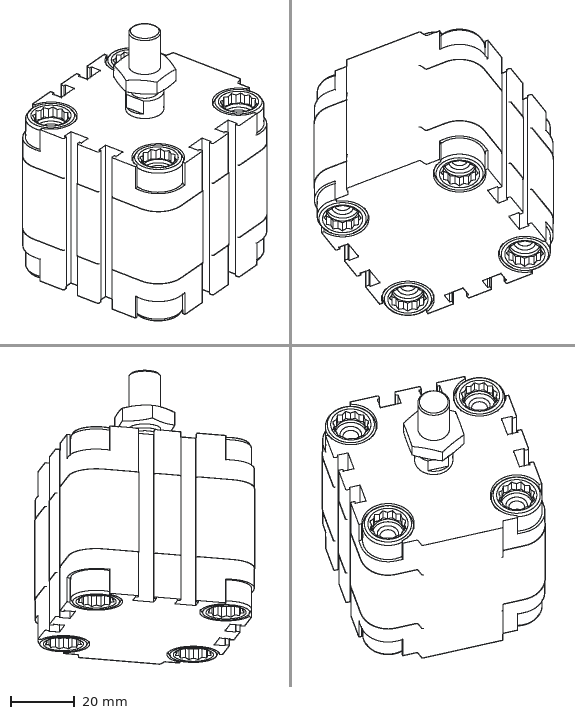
import cadquery as cq
import math


barrel_half_width = 30.0
housing_height = 55.5
cap_height = 14.5
cap_inset = 0.13
screw_offset = 21.0

tongue_top = 32.5
tongue_base_half_width = 13.95
tongue_top_half_width = 13.2
tongue_round = 0.5

groove_offset = 6.8
groove_width = 6.7
groove_floor = 25.0
groove_mouth_width = 5.2
groove_lip_inside = 28.5
groove_mouth_round = 0.4
groove_side_turns = (-90, 0, 90)

recess_depth = 8.0
recess_radius = 8.2
recess_edge = 18.7
collar_radius = 8.0
collar_chamfer_width = 0.6
collar_chamfer_height = 1.0

socket_flats = 10.0
socket_depth = 3.8
socket_floor_depth = 5.0
socket_cone_radius = 6.3
socket_cone_angle = 30
screw_hole_radius = 2.48
countersink_radius = 3.4

selection_margin = 0.8

half_hexagon_turn = 30

rod_radius = 6.01
rod_flats = 10.0
rod_flats_bottom = 57.1
rod_shoulder = 61.9
rod_neck_radius = 4.3
thread_radius = 5.0
thread_bottom = 64.0
rod_top = 84.0
rod_tip_chamfer = 0.5

nut_flats = 17.0
nut_bottom = 66.0
nut_height = 5.0
nut_face_radius = 8.4
nut_chamfer_height = 0.4


def hexagon_corner_diameter(flats):
    """Diameter over the corners of a hexagon with the given width across flats."""
    return flats / math.cos(math.pi / 6)




def groove_cutter(half_width):
    """One T-shaped groove centred on the -Y side, with rounded lips at the mouth."""
    half_slot = groove_width / 2
    half_mouth = groove_mouth_width / 2
    half_flare = half_mouth + groove_mouth_round
    lip_end = half_width - groove_mouth_round
    beyond = half_width + groove_mouth_round
    return (
        cq.Workplane("XY")
        .moveTo(0, -groove_floor)
        .lineTo(half_slot, -groove_floor)
        .lineTo(half_slot, -groove_lip_inside)
        .lineTo(half_mouth, -groove_lip_inside)
        .lineTo(half_mouth, -lip_end)
        .tangentArcPoint((half_flare, -half_width), relative=False)
        .lineTo(half_flare, -beyond)
        .lineTo(0, -beyond)
        .mirrorY()
        .extrude(housing_height)
    )


def block_with_tongue(half_width, top):
    """Square block with a tapered tongue on the +Y side, rounded at its top and foot."""
    block = cq.Workplane("XY").rect(2 * half_width, 2 * half_width).extrude(housing_height)
    ridge = (
        cq.Workplane("XY")
        .polyline(
            [
                (-tongue_base_half_width, 0),
                (-tongue_base_half_width, half_width),
                (-tongue_top_half_width, top),
                (tongue_top_half_width, top),
                (tongue_base_half_width, half_width),
                (tongue_base_half_width, 0),
            ]
        )
        .close()
        .extrude(housing_height)
    )
    foot_and_top = cq.selectors.BoxSelector(
        (-half_width + selection_margin, half_width - selection_margin, 0),
        (half_width - selection_margin, top + selection_margin, housing_height),
    )
    return block.union(ridge).edges("|Z").edges(foot_and_top).fillet(tongue_round)


def profile_prism(inset):
    """Full-height prism of the housing outline, its flat sides drawn in by the given inset."""
    half_width = barrel_half_width - inset
    prism = block_with_tongue(half_width, tongue_top)
    for x_sign in (-1, 1):
        corners = cq.selectors.BoxSelector(
            (x_sign * (half_width - selection_margin), -half_width - selection_margin, 0),
            (x_sign * (half_width + selection_margin), half_width + selection_margin, housing_height),
        )
        prism = prism.edges("|Z").edges(corners).fillet(half_width - screw_offset)
    for turn in groove_side_turns:
        for side in (-1, 1):
            cutter = groove_cutter(half_width).translate((side * groove_offset, 0, 0))
            prism = prism.cut(cutter.rotate((0, 0, 0), (0, 0, 1), turn))
    return prism


def slab(bottom, top):
    """Wide horizontal layer used to keep one height range of a prism."""
    width = 4 * barrel_half_width
    return cq.Workplane("XY").workplane(offset=bottom).rect(width, width).extrude(top - bottom)


def recess_cutter():
    """Ring-shaped recess around a collar at the (+X, +Y) corner of the top face."""
    floor = cq.Workplane("XY").workplane(offset=housing_height - recess_depth)
    well = floor.center(screw_offset, screw_offset).circle(recess_radius).extrude(recess_depth)
    reach = 2 * recess_radius
    opening = (
        floor.center(recess_edge, recess_edge)
        .rect(reach, reach, centered=False)
        .extrude(recess_depth)
    )
    collar = floor.center(screw_offset, screw_offset).circle(collar_radius).extrude(recess_depth)
    collar = collar.faces(">Z").chamfer(collar_chamfer_height, collar_chamfer_width)
    return well.union(opening).cut(collar)


def socket_cutter():
    """Socket with lead-in cone, twelve-point recess, round floor and countersink."""
    flat_radius = socket_flats / 2
    cone_depth = (socket_cone_radius - flat_radius) * math.tan(math.radians(socket_cone_angle))
    countersink_depth = countersink_radius - screw_hole_radius
    bore = (
        cq.Workplane("XZ")
        .polyline(
            [
                (0, 0),
                (socket_cone_radius, 0),
                (flat_radius, -cone_depth),
                (flat_radius, -socket_floor_depth),
                (countersink_radius, -socket_floor_depth),
                (screw_hole_radius, -socket_floor_depth - countersink_depth),
                (0, -socket_floor_depth - countersink_depth),
            ]
        )
        .close()
        .revolve(360, (0, 0, 0), (0, 1, 0))
    )
    hexagon = (
        cq.Workplane("XY")
        .polygon(6, hexagon_corner_diameter(socket_flats))
        .extrude(-socket_depth)
    )
    turned_hexagon = hexagon.rotate((0, 0, 0), (0, 0, 1), half_hexagon_turn)
    socket = bore.union(hexagon).union(turned_hexagon)
    return socket.translate((screw_offset, screw_offset, housing_height))


def make_housing():
    """Barrel and end caps in one piece, with corner recesses, sockets and screw holes."""
    barrel = profile_prism(0).intersect(slab(cap_height, housing_height - cap_height))
    caps = profile_prism(cap_inset).cut(slab(cap_height, housing_height - cap_height))
    housing = barrel.union(caps)

    corner_cutter = recess_cutter().union(socket_cutter())
    opposite_cutter = corner_cutter.mirror("XY", (0, 0, housing_height / 2))
    for quarter in range(4):
        for cutter in (corner_cutter, opposite_cutter):
            housing = housing.cut(cutter.rotate((0, 0, 0), (0, 0, 1), 90 * quarter))

    screw_holes = (
        cq.Workplane("XY")
        .rect(2 * screw_offset, 2 * screw_offset, forConstruction=True)
        .vertices()
        .circle(screw_hole_radius)
        .extrude(housing_height)
    )
    return housing.cut(screw_holes)




def make_rod():
    """Rod standing on the top cap: collar with two wrench flats, neck and threaded end."""
    thread_lead = thread_radius - rod_neck_radius
    rod = (
        cq.Workplane("XZ")
        .polyline(
            [
                (0, housing_height),
                (rod_radius, housing_height),
                (rod_radius, rod_shoulder),
                (rod_neck_radius, rod_shoulder),
                (rod_neck_radius, thread_bottom),
                (thread_radius, thread_bottom + thread_lead),
                (thread_radius, rod_top - rod_tip_chamfer),
                (thread_radius - rod_tip_chamfer, rod_top),
                (0, rod_top),
            ]
        )
        .close()
        .revolve(360, (0, 0, 0), (0, 1, 0))
    )
    for side in (-1, 1):
        flat = (
            cq.Workplane("XY")
            .workplane(offset=rod_flats_bottom)
            .center(0, side * (rod_flats / 2 + rod_radius / 2))
            .rect(2 * rod_radius, rod_radius)
            .extrude(rod_shoulder - rod_flats_bottom)
        )
        rod = rod.cut(flat)
    return rod




def make_nut():
    """Hexagon nut on the thread, corners turned off at both faces."""
    corner_diameter = hexagon_corner_diameter(nut_flats)
    corner_radius = corner_diameter / 2
    nut_top = nut_bottom + nut_height
    hexagon = (
        cq.Workplane("XY")
        .workplane(offset=nut_bottom)
        .transformed(rotate=(0, 0, half_hexagon_turn))
        .polygon(6, corner_diameter)
        .circle(thread_radius)
        .extrude(nut_height)
    )
    turned_blank = (
        cq.Workplane("XZ")
        .polyline(
            [
                (0, nut_bottom),
                (nut_face_radius, nut_bottom),
                (corner_radius, nut_bottom + nut_chamfer_height),
                (corner_radius, nut_top - nut_chamfer_height),
                (nut_face_radius, nut_top),
                (0, nut_top),
            ]
        )
        .close()
        .revolve(360, (0, 0, 0), (0, 1, 0))
    )
    return hexagon.intersect(turned_blank)


housing = make_housing().solids()
rod = make_rod().solids()
nut = make_nut().solids()

result = cq.Compound.makeCompound([housing.val(), rod.val(), nut.val()])